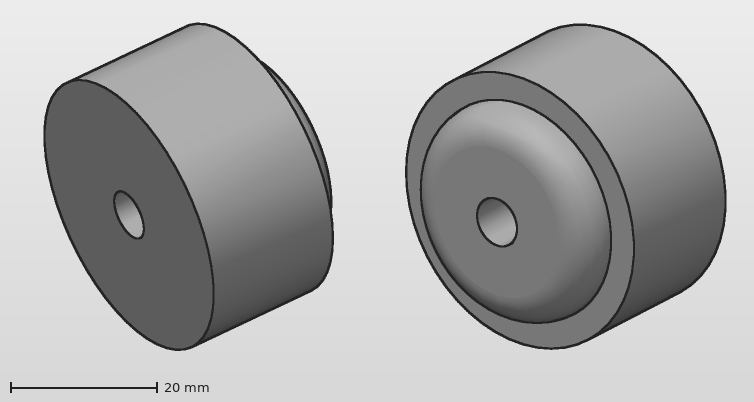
import cadquery as cq

body_diameter = 40.0
body_length = body_diameter / 2
boss_diameter = 32.0
boss_height = 5.0
edge_radius = boss_height
bore_diameter = 7.0

body_radius = body_diameter / 2
boss_radius = boss_diameter / 2
bore_radius = bore_diameter / 2
total_length = body_length + boss_height

half_section = (
    cq.Workplane("XY")
    .moveTo(bore_radius, 0)
    .lineTo(body_radius, 0)
    .lineTo(body_radius, body_length)
    .lineTo(boss_radius, body_length)
    .radiusArc((boss_radius - edge_radius, total_length), -edge_radius)
    .lineTo(bore_radius, total_length)
    .close()
)

result = half_section.revolve(360, (0, 0, 0), (0, 1, 0))